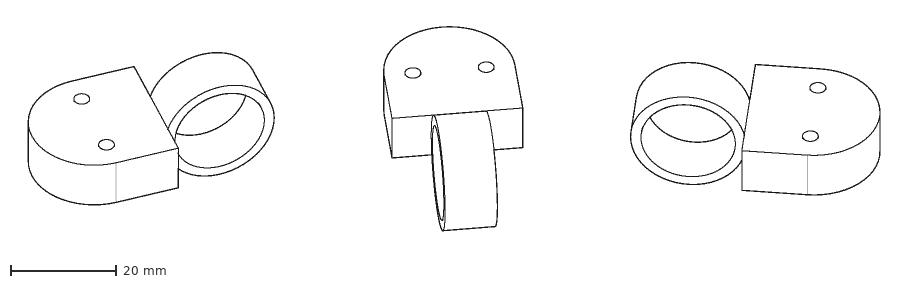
import cadquery as cq

total_length = 47.0
ring_diameter = 22.0
ring_bore = 18.0
body_thickness = 10.0
hole_diameter = 3.0
hole_spacing = 14.0

plate_length = total_length - ring_diameter
plate_radius = plate_length / 2
ring_center_y = plate_radius + ring_diameter / 2


def make_plate():
    """Plate with a square back, a round front and two through holes; the arc center is the origin."""
    outline = (
        cq.Workplane("XY")
        .workplane(offset=-body_thickness / 2)
        .moveTo(-plate_radius, plate_radius)
        .lineTo(-plate_radius, 0)
        .threePointArc((0, -plate_radius), (plate_radius, 0))
        .lineTo(plate_radius, plate_radius)
        .close()
    )
    return (
        outline.extrude(body_thickness)
        .faces(">Z")
        .workplane(origin=(0, 0, 0))
        .pushPoints([(-hole_spacing / 2, 0), (hole_spacing / 2, 0)])
        .hole(hole_diameter)
    )


def make_ring():
    """Ring with its axis along X, touching the middle of the plate's flat back face."""
    return (
        cq.Workplane("YZ")
        .workplane(offset=-body_thickness / 2)
        .center(ring_center_y, 0)
        .circle(ring_diameter / 2)
        .circle(ring_bore / 2)
        .extrude(body_thickness)
    )


plate = make_plate()
ring = make_ring()

result = cq.Compound.makeCompound([plate.val(), ring.val()])